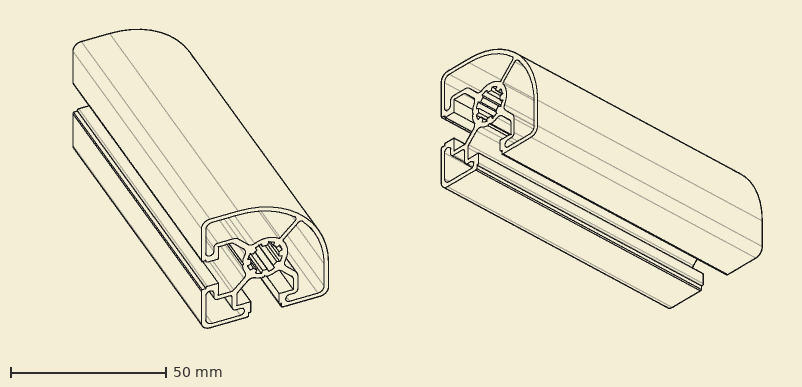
import cadquery as cq
import math


length = 100.0
side = 45.0
wall = 1.6
round_radius = 32.0
corner_radius = 3.0
pocket_corner_radius = 2.2

hub_radius = 8.0
bore_radius = 5.0
groove_radius = 6.2
groove_width = 2.2
groove_count = 8

mouth_half = 5.0
lip_step = 0.8
lip_radius = 0.5
lip_end_depth = 1.6
mouth_chamfer_height = 0.6
mouth_chamfer_depth = 0.2
lip_depth = 6.0
slot_half = 10.0
mark_half = 0.8
mark_depth = 0.4

rib_thickness = 2.1
thin_rib_thickness = 1.6

finger_end = 7.3

hub_fillet = 2.0
slot_back_fillet = 3.0
slot_fillet = 1.4
bend_fillet = 1.4
rib_hub_fillet = 0.5
rib_shell_fillet = 1.0
pocket_inner_fillet = 1.0

half = side / 2
inner_half = half - wall
slot_floor = half - lip_depth
slot_back_half = slot_half + wall
finger_inner = slot_floor + wall
finger_radius = (inner_half - finger_inner) / 2
finger_middle = (inner_half + finger_inner) / 2
round_center = round_radius - half
inner_round_radius = round_radius - wall
rib_offset = rib_thickness / math.sqrt(2)


def section():
    """Workplane at X = 0 with local axes u and v."""
    return cq.Workplane(cq.Plane(origin=(0, 0, 0), xDir=(0, -1, 0), normal=(-1, 0, 0)))


def extruded(outline):
    """Prism of a closed section outline over the full length of the profile."""
    return outline.extrude(-length)


def mirrored(body):
    """Reflection of body in the line v = -u."""
    return body.mirror((0, 1, -1))


def diagonal_point(along, across):
    """Section point given along the round's diagonal (-1, 1) and across it (1, 1)."""
    return ((across - along) / math.sqrt(2), (across + along) / math.sqrt(2))


def fillet_corners(body, radius, *corners):
    """Round the lengthwise edges of body that pass through the given section points."""
    for u, v in corners:
        nearest = cq.NearestToPointSelector((length / 2, -u, v))
        body = body.edges("|X").edges(nearest).fillet(radius)
    return body


hub_rib_near = (math.sqrt(2 * hub_radius**2 - rib_offset**2) - rib_offset) / 2
hub_rib_far = hub_rib_near + rib_offset

hub = extruded(section().circle(hub_radius))


def outer_body():
    """Square bar with one large round and three small corner rounds."""
    body = extruded(section().rect(side, side))
    body = fillet_corners(body, round_radius, (-half, half))
    return fillet_corners(body, corner_radius, (half, half), (half, -half), (-half, -half))


def bore():
    """Round hole with parallel-sided grooves between its teeth."""
    cutter = extruded(section().circle(bore_radius))
    reach = extruded(section().circle(groove_radius))
    groove = extruded(section().rect(2 * groove_radius, groove_width)).intersect(reach)
    step = 360 / groove_count
    for index in range(groove_count // 2):
        cutter = cutter.union(groove.rotate((0, 0, 0), (1, 0, 0), (index + 0.5) * step))
    return cutter


def t_slot():
    """Slot open toward +u, with stepped lips and a marking groove on the hub."""
    lip_outer = mouth_half + lip_step
    mouth_face = lip_outer + mouth_chamfer_height
    lip_end = half - lip_end_depth
    floor_corner = (slot_half + rib_offset, slot_half)

    def half_outline(sign):
        return (
            section()
            .moveTo(half, 0)
            .lineTo(half, sign * mouth_face)
            .lineTo(half - mouth_chamfer_depth, sign * lip_outer)
            .lineTo(lip_end, sign * lip_outer)
            .lineTo(lip_end, sign * (mouth_half + lip_radius))
            .radiusArc((lip_end - lip_radius, sign * mouth_half), sign * lip_radius)
            .lineTo(slot_floor, sign * mouth_half)
            .lineTo(slot_floor, sign * slot_half)
            .lineTo(floor_corner[0], sign * floor_corner[1])
            .lineTo(rib_offset, 0)
            .close()
        )

    slot = extruded(half_outline(1)).union(extruded(half_outline(-1))).cut(hub)
    for sign in (1, -1):
        slot = fillet_corners(slot, hub_fillet, (hub_rib_far, sign * hub_rib_near))
        slot = fillet_corners(slot, slot_fillet, (floor_corner[0], sign * floor_corner[1]))
    mark = section().polyline([
        (hub_radius - mark_depth, 0),
        (hub_radius, mark_half),
        (slot_floor, mark_half),
        (slot_floor, -mark_half),
        (hub_radius, -mark_half),
    ]).close()
    return slot.union(extruded(mark))


def round_pocket():
    """Pocket between the thin rib, the round, the upper shell and the +u slot."""
    half_thin = thin_rib_thickness / 2
    shell_reach = math.sqrt(inner_round_radius**2 - half_thin**2) - round_center * math.sqrt(2)
    shell_rib = diagonal_point(shell_reach, half_thin)
    hub_rib = diagonal_point(math.sqrt(hub_radius**2 - half_thin**2), half_thin)
    arc_start_angle = math.atan2(shell_rib[1] + round_center, shell_rib[0] - round_center)
    middle_angle = (arc_start_angle + math.pi / 2) / 2
    arc_middle = (
        round_center + inner_round_radius * math.cos(middle_angle),
        -round_center + inner_round_radius * math.sin(middle_angle),
    )
    back_rib = (slot_back_half - rib_offset, slot_back_half)
    rib_edges_cross = (
        (half_thin * math.sqrt(2) - rib_offset) / 2,
        (half_thin * math.sqrt(2) + rib_offset) / 2,
    )
    outline = (
        section()
        .moveTo(*shell_rib)
        .threePointArc(arc_middle, (round_center, inner_half))
        .lineTo(inner_half, inner_half)
        .lineTo(inner_half, finger_end + finger_radius)
        .threePointArc((finger_middle, finger_end), (finger_inner, finger_end + finger_radius))
        .lineTo(finger_inner, slot_back_half)
        .lineTo(*back_rib)
        .lineTo(*rib_edges_cross)
        .close()
    )
    pocket = extruded(outline).cut(hub)
    pocket = fillet_corners(pocket, pocket_corner_radius, (inner_half, inner_half))
    pocket = fillet_corners(pocket, bend_fillet, (finger_inner, slot_back_half))
    pocket = fillet_corners(pocket, slot_back_fillet, back_rib)
    pocket = fillet_corners(pocket, hub_fillet, (hub_rib_near, hub_rib_far))
    pocket = fillet_corners(pocket, rib_shell_fillet, shell_rib)
    return fillet_corners(pocket, rib_hub_fillet, hub_rib)


def corner_pocket():
    """Pocket in the square corner between the two slots."""
    outline = (
        section()
        .moveTo(slot_back_half, -slot_back_half)
        .lineTo(finger_inner, -slot_back_half)
        .lineTo(finger_inner, -finger_end - finger_radius)
        .threePointArc((finger_middle, -finger_end), (inner_half, -finger_end - finger_radius))
        .lineTo(inner_half, -inner_half)
        .lineTo(finger_end + finger_radius, -inner_half)
        .threePointArc((finger_end, -finger_middle), (finger_end + finger_radius, -finger_inner))
        .lineTo(slot_back_half, -finger_inner)
        .close()
    )
    pocket = extruded(outline)
    pocket = fillet_corners(pocket, pocket_corner_radius, (inner_half, -inner_half))
    pocket = fillet_corners(pocket, pocket_inner_fillet, (slot_back_half, -slot_back_half))
    return fillet_corners(
        pocket, bend_fillet, (finger_inner, -slot_back_half), (slot_back_half, -finger_inner)
    )


result = outer_body().cut(bore()).cut(corner_pocket())
for cutter in (t_slot(), round_pocket()):
    result = result.cut(cutter).cut(mirrored(cutter))